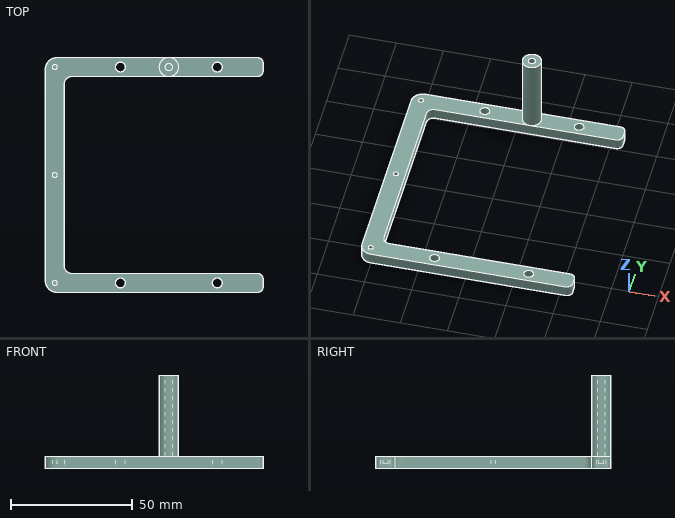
import cadquery as cq

frame_length = 90.0
frame_width = 97.0
frame_thickness = 5.0
bar_width = 8.0
outer_corner_radius = 5.0
inner_corner_radius = 3.0
arm_end_radius = 2.5

arm_hole_diameter = 4.0
arm_hole_spacing = 40.0
first_arm_hole_x = 31.0
arm_hole_xs = (first_arm_hole_x, first_arm_hole_x + arm_hole_spacing)

back_hole_diameter = 2.0
back_hole_depth = 3.0

post_diameter = bar_width
post_height = 33.5
post_bore_diameter = 3.0
post_x = first_arm_hole_x + arm_hole_spacing / 2

back_bar_x = bar_width / 2
arm_y = (frame_width - bar_width) / 2


def make_outline():
    """U-shaped plate with rounded corners and arm ends."""
    plate = (
        cq.Workplane("XY")
        .box(frame_length, frame_width, frame_thickness, centered=(False, True, False))
        .edges("|Z and <X").fillet(outer_corner_radius)
    )
    opening = (
        cq.Workplane("XY")
        .box(frame_length, frame_width - 2 * bar_width, frame_thickness, centered=(False, True, False))
        .translate((bar_width, 0, 0))
        .edges("|Z and <X").fillet(inner_corner_radius)
    )
    return plate.cut(opening).edges("|Z and >X").fillet(arm_end_radius)


def make_frame():
    """U-shaped plate with its arm holes and back bar holes."""
    arm_hole_points = [(x, y) for x in arm_hole_xs for y in (-arm_y, arm_y)]
    arm_holes = (
        cq.Workplane("XY")
        .pushPoints(arm_hole_points)
        .circle(arm_hole_diameter / 2)
        .extrude(frame_thickness)
    )
    back_hole_points = [(back_bar_x, y) for y in (-arm_y, 0, arm_y)]
    back_holes = (
        cq.Workplane("XY", origin=(0, 0, frame_thickness))
        .pushPoints(back_hole_points)
        .circle(back_hole_diameter / 2)
        .extrude(-back_hole_depth)
    )
    return make_outline().cut(arm_holes).cut(back_holes)


def make_post():
    """Tubular post resting on the top face of the +Y arm."""
    return (
        cq.Workplane("XY", origin=(post_x, arm_y, frame_thickness))
        .circle(post_diameter / 2)
        .circle(post_bore_diameter / 2)
        .extrude(post_height)
    )


frame = make_frame()
post = make_post()

result = cq.Compound.makeCompound([frame.val(), post.val()])